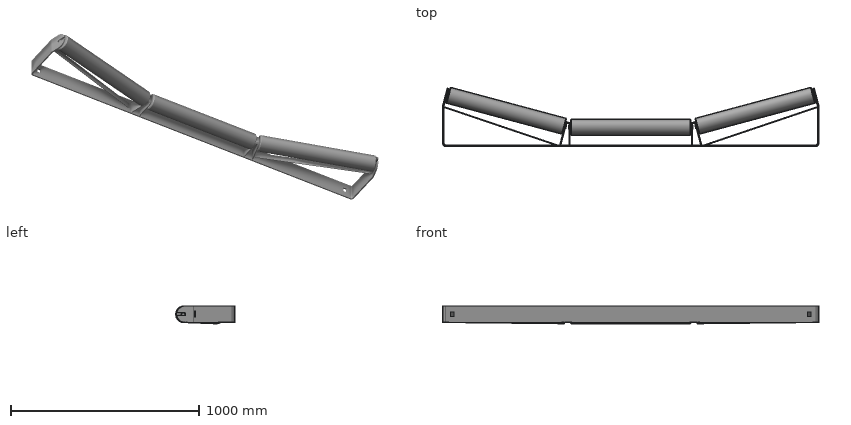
import cadquery as cq
import math

SIDES = (1, -1)
TROUGH_ANGLE = 15.0

FRAME_LENGTH = 2000.0
FRAME_HEIGHT = 88.0
BAR_THICKNESS = 8.0
CORNER_RADIUS = 15.0
SIDE_LENGTH = 220.0
END_PLATE_LENGTH = 95.0
END_SLOT_WIDTH = 15.0
END_SLOT_DEPTH = 50.0
BOLT_HOLE_WIDTH = 18.0
BOLT_HOLE_HEIGHT = 25.0
BOLT_HOLE_X = 950.0

DRUM_DIAMETER = 88.0
DRUM_LENGTH = 640.0
DRUM_CHAMFER = 5.0
AXLE_DIAMETER = 20.0
AXLE_FLAT_WIDTH = 15.0
AXLE_OVERHANG = 10.0
CENTRE_ROLLER_Y = 102.0
CENTRE_ROLLER_Z = -8.0
WING_ROLLER_X = 662.0
WING_ROLLER_Y = 190.0
WING_ROLLER_Z = -5.0
WING_SKEW = 0.6

BRACKET_THICKNESS = 5.0
BRACKET_GAP = 2.0
BRACKET_HEIGHT = 65.0
BRACKET_CORNER_RADIUS = 28.0
BRIDGE_Y = 125.0
BRIDGE_RISE = 5.0
TILTED_FOOT_X = 378.0

STRUT_THICKNESS = 5.0
STRUT_HEIGHT = 32.0
STRUT_TOP_Y = 215.0
STRUT_FOOT_X = 390.0

half_length = FRAME_LENGTH / 2
half_height = FRAME_HEIGHT / 2
axle_length = DRUM_LENGTH + 2 * AXLE_OVERHANG
trough = math.radians(TROUGH_ANGLE)


def extrude_outline(points, height):
    """A prism along Z, centred on Z = 0."""
    return cq.Workplane("XY", origin=(0, 0, -height / 2)).polyline(points).close().extrude(height)


def mirrored(points, side):
    return [(side * x, y) for x, y in points]


def cylinder_along_x(diameter, length):
    return cq.Workplane("YZ", origin=(-length / 2, 0, 0)).circle(diameter / 2).extrude(length)



def make_axle():
    flats = cq.Workplane("XY").box(axle_length, AXLE_DIAMETER, AXLE_FLAT_WIDTH)
    return cylinder_along_x(AXLE_DIAMETER, axle_length).intersect(flats)


def make_roller():
    drum = cylinder_along_x(DRUM_DIAMETER, DRUM_LENGTH).edges("%CIRCLE").chamfer(DRUM_CHAMFER)
    return drum.union(make_axle())


def place_centre(body):
    return body.translate((0, CENTRE_ROLLER_Y, CENTRE_ROLLER_Z))


def place_wing(body, side):
    """Skew the body so that its outer end rises in Z, tilt it by the trough angle, move it out."""
    skewed = body.rotate((0, 0, 0), (0, 1, 0), -side * WING_SKEW)
    tilted = skewed.rotate((0, 0, 0), (0, 0, 1), side * TROUGH_ANGLE)
    return tilted.translate((side * WING_ROLLER_X, WING_ROLLER_Y, WING_ROLLER_Z))



def bent_bar():
    tip_x = half_length - END_PLATE_LENGTH * math.sin(trough)
    tip_y = SIDE_LENGTH + END_PLATE_LENGTH * math.cos(trough)
    inner_x = half_length - BAR_THICKNESS
    right_half = [
        (half_length, 0),
        (half_length, SIDE_LENGTH),
        (tip_x, tip_y),
        (tip_x - BAR_THICKNESS * math.cos(trough), tip_y - BAR_THICKNESS * math.sin(trough)),
        (inner_x, SIDE_LENGTH - BAR_THICKNESS * math.tan(trough / 2)),
        (inner_x, BAR_THICKNESS),
    ]
    left_half = mirrored(reversed(right_half), -1)
    bar = extrude_outline(right_half + left_half, FRAME_HEIGHT)
    bar = bar.edges("|Z and <Y").fillet(CORNER_RADIUS)
    for side in SIDES:
        inner_corner = cq.selectors.NearestToPointSelector((side * inner_x, BAR_THICKNESS, 0))
        bar = bar.edges("|Z").edges(inner_corner).fillet(CORNER_RADIUS - BAR_THICKNESS)
    return bar


def end_plate_cutter(side):
    """Rounds the end plate's tip to a half circle and opens its axle slot."""
    depth = 4 * BAR_THICKNESS
    across = cq.Workplane("YZ", origin=(-depth / 2, 0, 0))
    round_centre = END_PLATE_LENGTH - half_height
    corners = across.center(END_PLATE_LENGTH, 0).rect(FRAME_HEIGHT, FRAME_HEIGHT).extrude(depth)
    corners = corners.cut(across.center(round_centre, 0).circle(half_height).extrude(depth))

    slot_length = 2 * END_SLOT_DEPTH
    slot = across.center(END_PLATE_LENGTH, 0).slot2D(slot_length, END_SLOT_WIDTH).extrude(depth)

    cutter = corners.union(slot).rotate((0, 0, 0), (0, 0, 1), side * TROUGH_ANGLE)
    return cutter.translate((side * half_length, SIDE_LENGTH, 0))


def bolt_hole(side):
    hole = cq.Workplane("XY").box(BOLT_HOLE_WIDTH, 2 * BAR_THICKNESS, BOLT_HOLE_HEIGHT)
    return hole.translate((side * BOLT_HOLE_X, BAR_THICKNESS / 2, 0))


def make_frame():
    body = bent_bar()
    for side in SIDES:
        body = body.cut(end_plate_cutter(side)).cut(bolt_hole(side)).cut(make_strut(side))
    return body



def make_strut(side):
    """Its foot is cut flush with the back bar, its top with the frame's outer face."""
    run = half_length - STRUT_FOOT_X
    rise = STRUT_TOP_Y - BAR_THICKNESS
    slant = math.hypot(run, rise)
    outline = [
        (half_length, STRUT_TOP_Y),
        (STRUT_FOOT_X, BAR_THICKNESS),
        (STRUT_FOOT_X + STRUT_THICKNESS * slant / rise, BAR_THICKNESS),
        (half_length, STRUT_TOP_Y - STRUT_THICKNESS * slant / run),
    ]
    return extrude_outline(mirrored(outline, side), STRUT_HEIGHT)



def bracket_blank():
    """The bracket's outline seen along X, which rounds the top corners of both legs."""
    top = BRIDGE_Y + BRIDGE_RISE
    blank = cq.Workplane("XY").box(FRAME_LENGTH, top, BRACKET_HEIGHT)
    blank = blank.edges("|X and >Y").fillet(BRACKET_CORNER_RADIUS)
    return blank.translate((0, top / 2, CENTRE_ROLLER_Z))


def make_bracket(side):
    leg_x = DRUM_LENGTH / 2 + BRACKET_GAP
    tilted_width = BRACKET_THICKNESS / math.cos(trough)
    bridge_top = BRIDGE_Y + BRIDGE_RISE
    bridge_bottom = bridge_top - BRACKET_THICKNESS - tilted_width * math.tan(trough)

    def tilted_face_x(y):
        return TILTED_FOOT_X - (y - BAR_THICKNESS) * math.tan(trough)

    outline = [
        (leg_x, BAR_THICKNESS),
        (leg_x, BRIDGE_Y),
        (tilted_face_x(bridge_top), bridge_top),
        (TILTED_FOOT_X, BAR_THICKNESS),
        (TILTED_FOOT_X - tilted_width, BAR_THICKNESS),
        (tilted_face_x(bridge_bottom) - tilted_width, bridge_bottom),
        (leg_x + BRACKET_THICKNESS, BRIDGE_Y - BRACKET_THICKNESS),
        (leg_x + BRACKET_THICKNESS, BAR_THICKNESS),
    ]
    legs = extrude_outline(mirrored(outline, side), FRAME_HEIGHT).intersect(bracket_blank())
    return legs.cut(place_centre(make_axle())).cut(place_wing(make_axle(), side))



frame = make_frame()
centre_roller = place_centre(make_roller())
wing_rollers = [place_wing(make_roller(), side) for side in SIDES]
brackets = [make_bracket(side) for side in SIDES]
struts = [make_strut(side) for side in SIDES]

result = cq.Compound.makeCompound([
    frame.val(),
    centre_roller.val(),
    *[roller.val() for roller in wing_rollers],
    *[bracket.val() for bracket in brackets],
    *[strut.val() for strut in struts],
])